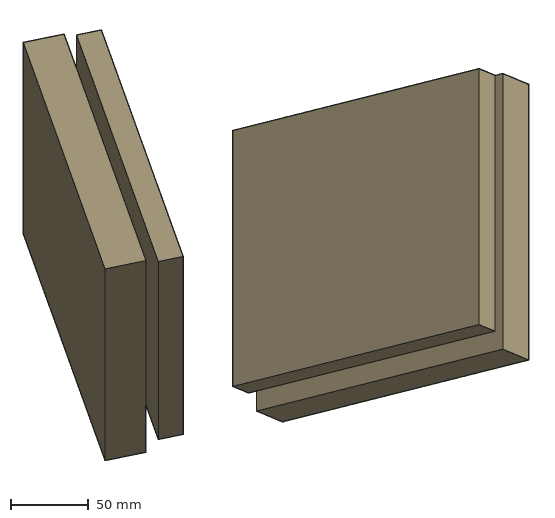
import cadquery as cq

width = 200.0
total_depth = 52.0

front_height = 187.0
front_thickness = 27.2

back_thickness = 16.5
top_setback = 3.5
bottom_setback = 10.0
back_height = front_height - top_setback - bottom_setback


def make_front_slab():
    """Full-height slab with its front face on Y = 0 and its base on Z = 0."""
    return cq.Workplane("XY").box(width, front_thickness, front_height, centered=(True, False, False))


def make_back_plate():
    """Thinner, shorter plate that stands behind the slab across an open gap."""
    plate = cq.Workplane("XY").box(width, back_thickness, back_height, centered=(True, False, False))
    return plate.translate((0, total_depth - back_thickness, bottom_setback))


front_slab = make_front_slab()
back_plate = make_back_plate()

result = cq.Compound.makeCompound([front_slab.val(), back_plate.val()])